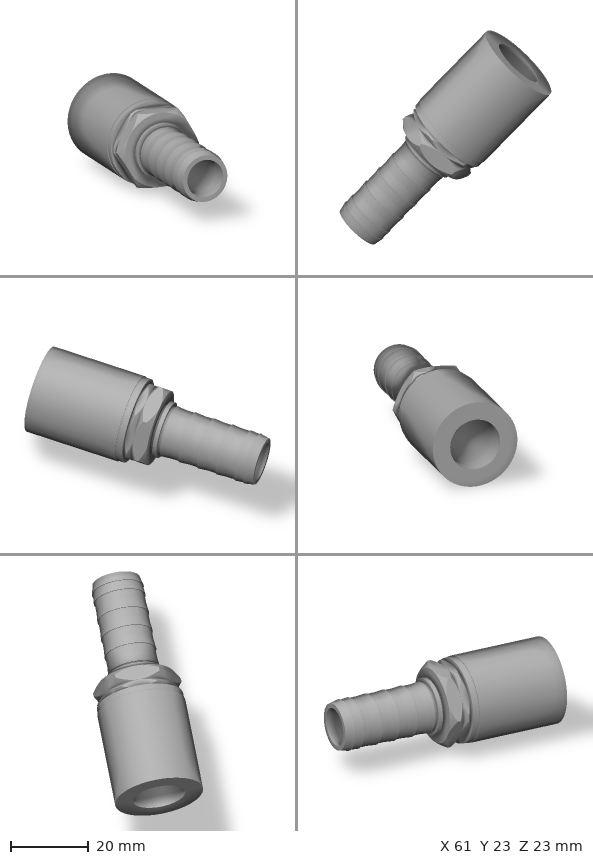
import cadquery as cq
import math

sleeve_end = 25.0
collar_end = 26.85
small_hex_end = 29.0
large_hex_end = 32.95
flange_start = 33.7
flange_end = 34.8
first_barb_start = 35.5
nose_start = 58.45
total_length = 61.0

sleeve_radius = 23.0 / 2
collar_radius = 11.3
flange_radius = 7.5
tail_radius = 6.5
nose_radius = 6.2

barb_count = 5
barb_length = (nose_start - first_barb_start) / (2 * barb_count - 1)
barb_pitch = 2 * barb_length
barb_radius = 6.8

hex_across_flats = 19.9
hex_flat_radius = hex_across_flats / 2
hex_corner_radius = hex_flat_radius / math.cos(math.pi / 6)

socket_radius = 6.8
socket_depth = sleeve_end
bore_radius = 5.0


def cylinder(start, end, radius):
    """Solid cylinder along X between two stations."""
    return cq.Workplane("YZ", origin=(start, 0, 0)).circle(radius).extrude(end - start)


def chamfered_hex(start, end):
    """Hexagon along X, its corners cut by a 45 degree cone from each end."""
    length = end - start
    prism = (
        cq.Workplane("YZ", origin=(start, 0, 0))
        .polygon(6, 2 * hex_corner_radius)
        .extrude(length)
    )
    peak_radius = hex_flat_radius + length / 2
    double_cone = (
        cq.Workplane("XZ")
        .moveTo(start, 0)
        .lineTo(start, hex_flat_radius)
        .lineTo(start + length / 2, peak_radius)
        .lineTo(end, hex_flat_radius)
        .lineTo(end, 0)
        .close()
        .revolve(360, (0, 0, 0), (1, 0, 0))
    )
    return prism.intersect(double_cone)


def barbed_tail():
    """Turned hose tail with a stop flange, barbs and a tapered nose."""
    outline = (
        cq.Workplane("XZ")
        .moveTo(large_hex_end, 0)
        .lineTo(large_hex_end, tail_radius)
        .lineTo(flange_start, tail_radius)
        .lineTo(flange_start, flange_radius)
        .lineTo(flange_end, flange_radius)
        .lineTo(flange_end, tail_radius)
    )
    for index in range(barb_count):
        barb_start = first_barb_start + index * barb_pitch
        outline = (
            outline.lineTo(barb_start, tail_radius)
            .lineTo(barb_start, barb_radius)
            .lineTo(barb_start + barb_length, tail_radius)
        )
    outline = (
        outline.lineTo(nose_start, barb_radius)
        .lineTo(total_length, nose_radius)
        .lineTo(total_length, 0)
        .close()
    )
    return outline.revolve(360, (0, 0, 0), (1, 0, 0))


body = (
    cylinder(0, sleeve_end, sleeve_radius)
    .union(cylinder(sleeve_end, collar_end, collar_radius))
    .union(chamfered_hex(collar_end, small_hex_end))
    .union(chamfered_hex(small_hex_end, large_hex_end))
    .union(barbed_tail())
)

result = body.cut(cylinder(0, socket_depth, socket_radius)).cut(
    cylinder(0, total_length, bore_radius)
)